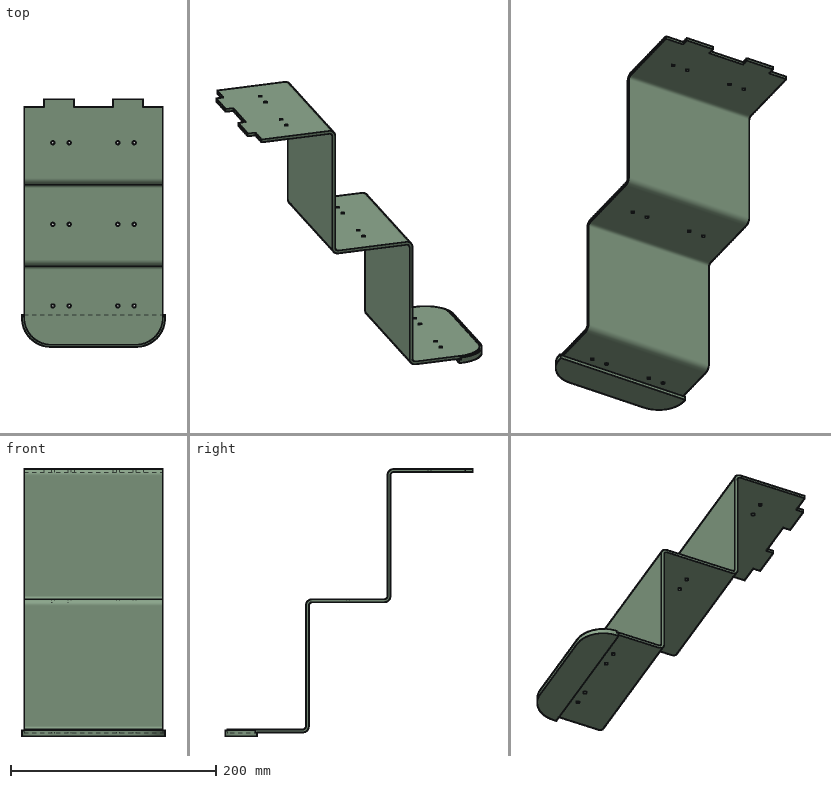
import cadquery as cq

sheet_width = 135.0
sheet_thickness = 3.0
tread_pitch = 79.5
step_height = 127.0
step_count = 2
inner_bend_radius = 3.0
outer_bend_radius = inner_bend_radius + sheet_thickness
overall_depth = 241.5
overall_height = 260.6
first_riser_front = 78.7
corner_radius = 26.0

tab_length = 7.5
tab_width = 29.5
tab_center_x = 33.5

hole_diameter = 3.0
hole_offsets_x = (-39.5, -23.7, 23.7, 39.5)
first_hole_row_y = 40.1

trim_wall = 2.3
trim_height = 5.7
floor_length = 31.3
rim_length = 29.5

sheet_front = trim_wall
sheet_back = overall_depth - tab_length
lowest_tread_top = overall_height - step_count * step_height
lowest_tread_bottom = lowest_tread_top - sheet_thickness
trim_width = sheet_width + 2 * trim_wall


def block(width, y_start, y_end, z_start, z_end):
    """Box centered on X = 0 between the given Y and Z limits."""
    return cq.Workplane("XY").box(
        width, y_end - y_start, z_end - z_start, centered=(True, False, False)
    ).translate((0, y_start, z_start))


def rounded_front_block(width, y_start, y_end, z_start, z_end, radius):
    """Block whose two vertical front edges are rounded."""
    return block(width, y_start, y_end, z_start, z_end).edges("|Z and <Y").fillet(radius)


def folded_profile():
    """Side profile of the stepped sheet with sharp bends, extruded across X."""
    upper_side = [(sheet_front, lowest_tread_top)]
    lower_side = [(sheet_front, lowest_tread_bottom)]
    for step in range(step_count):
        riser_front = first_riser_front + step * tread_pitch
        riser_back = riser_front + sheet_thickness
        tread_top = lowest_tread_top + step * step_height
        next_top = tread_top + step_height
        upper_side += [(riser_front, tread_top), (riser_front, next_top)]
        lower_side += [
            (riser_back, tread_top - sheet_thickness),
            (riser_back, next_top - sheet_thickness),
        ]
    upper_side.append((sheet_back, overall_height))
    lower_side.append((sheet_back, overall_height - sheet_thickness))
    outline = upper_side + lower_side[::-1]
    return cq.Workplane("YZ").polyline(outline).close().extrude(sheet_width / 2, both=True)


def bend_edges(sheet, y, z):
    """Select the edge along X that passes through the given Y and Z."""
    return sheet.edges(cq.selectors.NearestToPointSelector((0, y, z)))


def round_bends(sheet):
    """Round both faces of the sheet at the foot and the head of each riser."""
    for step in range(step_count):
        front = first_riser_front + step * tread_pitch
        back = front + sheet_thickness
        foot_top = lowest_tread_top + step * step_height
        head_top = foot_top + step_height
        sheet = bend_edges(sheet, front, foot_top).fillet(inner_bend_radius)
        sheet = bend_edges(sheet, back, foot_top - sheet_thickness).fillet(outer_bend_radius)
        sheet = bend_edges(sheet, front, head_top).fillet(outer_bend_radius)
        sheet = bend_edges(sheet, back, head_top - sheet_thickness).fillet(inner_bend_radius)
    return sheet


def add_tabs(sheet):
    for center_x in (-tab_center_x, tab_center_x):
        tab = block(
            tab_width, sheet_back, overall_depth, overall_height - sheet_thickness, overall_height
        )
        sheet = sheet.union(tab.translate((center_x, 0, 0)))
    return sheet


def drill_holes(sheet):
    centers = [
        (x, first_hole_row_y + row * tread_pitch)
        for row in range(step_count + 1)
        for x in hole_offsets_x
    ]
    drills = cq.Workplane("XY").pushPoints(centers).circle(hole_diameter / 2).extrude(overall_height)
    return sheet.cut(drills)


def make_stepped_sheet():
    sheet = round_bends(folded_profile())
    sheet = sheet.edges("|Z and <Y").fillet(corner_radius)
    return drill_holes(add_tabs(sheet))


def make_edge_trim():
    """Tray whose floor carries the sheet and whose rim follows the sheet's front edge."""
    outer_radius = corner_radius + trim_wall
    floor = rounded_front_block(trim_width, 0, floor_length, 0, lowest_tread_bottom, outer_radius)
    rim = rounded_front_block(trim_width, 0, rim_length, lowest_tread_bottom, trim_height, outer_radius)
    pocket = rounded_front_block(
        sheet_width, sheet_front, floor_length, lowest_tread_bottom, lowest_tread_top, corner_radius
    )
    return floor.union(rim.cut(pocket))


stepped_sheet = make_stepped_sheet()
edge_trim = make_edge_trim()

result = cq.Compound.makeCompound([stepped_sheet.val(), edge_trim.val()])